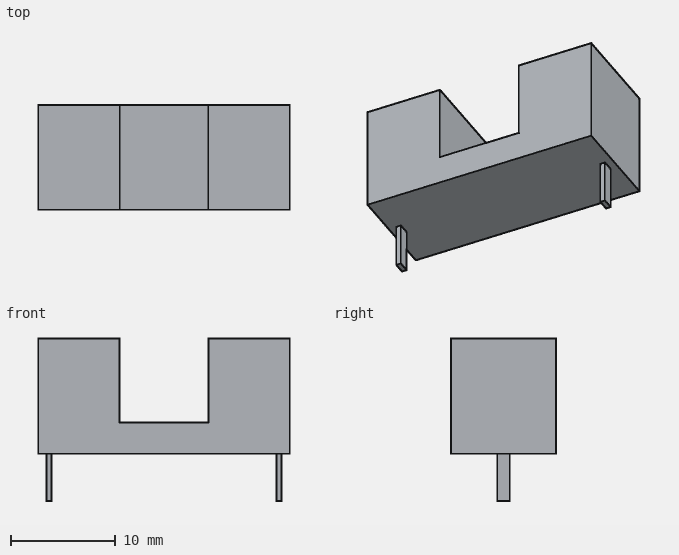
import cadquery as cq

length = 24.0
depth = 10.0
body_height = 11.0

slot_width = 8.45
floor_thickness = 3.0

pin_thickness = 0.5
pin_width = 1.2
pin_length = 4.5
pin_spacing = 21.9


def make_body():
    """Block with its underside at Z = 0 and a slot open at the top."""
    block = cq.Workplane("XY").box(length, depth, body_height, centered=(True, True, False))
    slot = (
        cq.Workplane("XY")
        .workplane(offset=floor_thickness)
        .rect(slot_width, depth)
        .extrude(body_height - floor_thickness)
    )
    return block.cut(slot)


def add_pins(body):
    """One flat pin under each tower."""
    pins = (
        cq.Workplane("XY")
        .rarray(pin_spacing, 0.25, 2, 1)
        .rect(pin_thickness, pin_width)
        .extrude(-pin_length)
    )
    return body.union(pins)


result = add_pins(make_body())